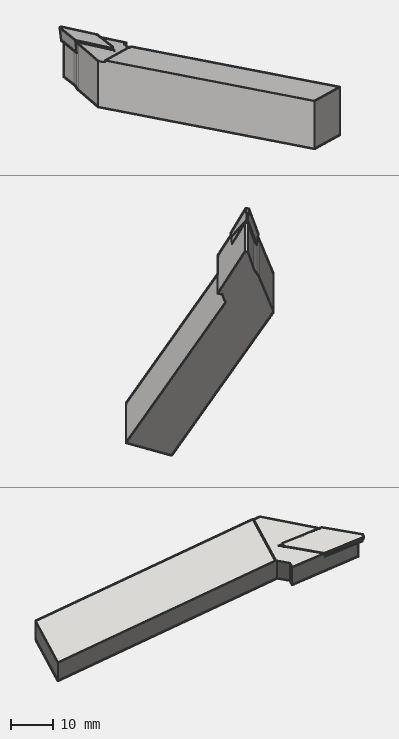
import cadquery as cq
import math

tool_length = 79.15
tool_height = 12.0
shank_width = 11.9
shank_start = 21.5

head_drop = 0.5
head_top = tool_height - head_drop
step_run = 0.2
heel = (19.6, 0.0)
flank_end = (9.4, 8.15)
flank_bend = (7.9, 9.6)
nose_flank_start = (6.5, 11.0)
flank_turn = 18.0
nose_x = 1.35
nose_low = (nose_x, 14.8)
nose_high = (nose_x, 15.5)
shoulder_x = 18.6
shoulder_high = (shoulder_x, 14.95)
shoulder_low = (shoulder_x, 13.8)
neck = (21.05, shank_width)

insert_height = 3.25
clearance_angle = 6.0
tip_high = (0.0, 15.9)
tip_low = (0.0, 15.1)
front_corner = (7.8, 9.2)
back_corner = (10.2, 15.35)
opposite_sum = (front_corner[0] + back_corner[0], front_corner[1] + back_corner[1])


def opposite(point):
    return (opposite_sum[0] - point[0], opposite_sum[1] - point[1])


def bulged_midpoint(start, end, turn_degrees):
    """Middle of an arc whose heading changes by turn_degrees (positive turns left)."""
    bulge = math.tan(math.radians(turn_degrees) / 4) / 2
    dx = end[0] - start[0]
    dy = end[1] - start[1]
    return ((start[0] + end[0]) / 2 + bulge * dy, (start[1] + end[1]) / 2 - bulge * dx)


def tapered_plate(outline):
    """Plate hanging down from the tool top, its sides leaning inward."""
    return (
        cq.Workplane("XY", origin=(0, 0, tool_height))
        .polyline(outline)
        .close()
        .extrude(-insert_height, taper=clearance_angle)
    )


def make_insert():
    return tapered_plate(
        [tip_high, tip_low, front_corner, opposite(tip_high), opposite(tip_low), back_corner]
    )


def make_pocket():
    """Insert shape with a sharp inner corner, leaving a small gap past the insert's flat end."""
    lower_slope = (tip_high[1] - back_corner[1]) / (tip_high[0] - back_corner[0])
    upper_slope = (tip_low[1] - front_corner[1]) / (tip_low[0] - front_corner[0])
    inner_flat = tip_high[1] - tip_low[1]
    reach = inner_flat / (lower_slope - upper_slope)
    flat_end = opposite(tip_high)
    sharp_corner = (flat_end[0] + reach, flat_end[1] + lower_slope * reach)
    return tapered_plate([tip_high, tip_low, front_corner, sharp_corner, back_corner])


def make_shank():
    length = tool_length - heel[0]
    return cq.Workplane("XY", origin=(heel[0], 0, 0)).box(length, shank_width, tool_height, centered=False)


def make_head():
    """Head with an S-shaped blend between its two flank faces."""
    return (
        cq.Workplane("XY")
        .moveTo(*heel)
        .lineTo(*flank_end)
        .threePointArc(bulged_midpoint(flank_end, flank_bend, -flank_turn), flank_bend)
        .threePointArc(bulged_midpoint(flank_bend, nose_flank_start, flank_turn), nose_flank_start)
        .lineTo(*nose_low)
        .lineTo(*nose_high)
        .lineTo(*shoulder_high)
        .lineTo(*shoulder_low)
        .lineTo(*neck)
        .lineTo(shank_start, shank_width)
        .lineTo(shank_start, 0)
        .close()
        .extrude(head_top)
    )


def make_step_cut():
    """Space above the head, ending in a slope up to the shank top."""
    return (
        cq.Workplane("XZ")
        .moveTo(heel[0], tool_height)
        .lineTo(heel[0], head_top)
        .lineTo(shank_start - step_run, head_top)
        .lineTo(shank_start, tool_height)
        .close()
        .extrude(-shank_width)
    )


insert = make_insert()
holder = make_head().union(make_shank()).cut(make_step_cut()).cut(make_pocket())

result = cq.Compound.makeCompound([holder.val(), insert.val()])